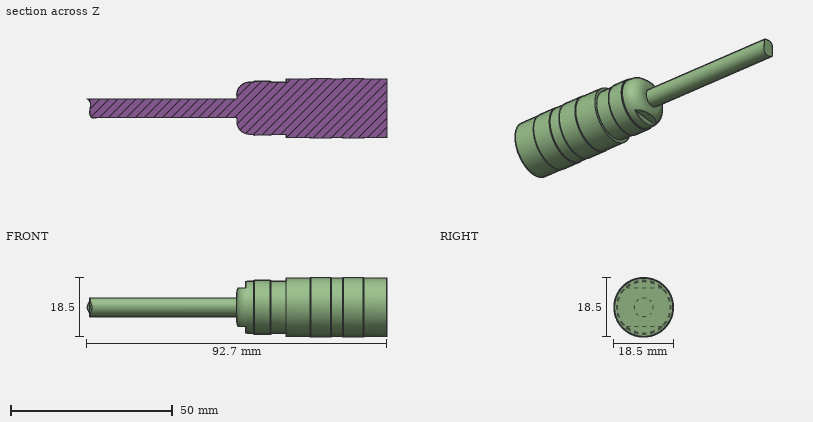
import cadquery as cq

total_length = 92.7
dome_start = 46.2
flat_end = 49.0
collar_start = 51.5
collar_end = 56.85
shell_start = 61.5
ring_starts = (68.9, 78.9)
ring_length = 6.6

cable_diameter = 5.8
dome_face_diameter = 8.2
neck_diameter = 16.2
collar_diameter = 16.8
shell_diameter = 18.2
ring_diameter = 18.5

flats_distance = 12.0
chamfer_length = 0.3
chamfer_depth = 0.1

tear_upper_depth = 1.0
tear_lower_depth = 0.7
tear_edge_depth = 1.5

cable_radius = cable_diameter / 2


def cylinder_along_x(start, end, diameter):
    """Round bar on the X axis between two stations."""
    return cq.Workplane("YZ", origin=(start, 0, 0)).circle(diameter / 2).extrude(end - start)


def chamfered_cylinder_along_x(start, end, diameter, front=True):
    """Round bar with shallow chamfers on its rear end and, if asked, its front end."""
    end_radius = diameter / 2 - chamfer_depth
    profile = cq.Workplane("XY").moveTo(start, 0)
    if front:
        profile = profile.lineTo(start, end_radius).lineTo(start + chamfer_length, diameter / 2)
    else:
        profile = profile.lineTo(start, diameter / 2)
    return (
        profile.lineTo(end - chamfer_length, diameter / 2)
        .lineTo(end, end_radius)
        .lineTo(end, 0)
        .close()
        .revolve(360, (0, 0, 0), (1, 0, 0))
    )


def make_cable():
    """Cable whose free end is cut to a wave that is constant along Z."""
    cable = cylinder_along_x(0, dome_start, cable_diameter)
    wave_points = [
        (tear_upper_depth, cable_radius / 2),
        (tear_lower_depth, -cable_radius / 2),
        (tear_edge_depth, -cable_radius),
    ]
    waste = (
        cq.Workplane("XY", origin=(0, 0, -cable_radius))
        .moveTo(0, cable_radius)
        .spline(wave_points, includeCurrent=True)
        .lineTo(tear_edge_depth, -cable_diameter)
        .lineTo(-tear_edge_depth, -cable_diameter)
        .lineTo(-tear_edge_depth, cable_radius)
        .close()
        .extrude(cable_diameter)
    )
    return cable.cut(waste)


def make_neck():
    """Neck with a domed cable entry and two wrench flats facing +Z and -Z."""
    dome_radius = (neck_diameter - dome_face_diameter) / 2
    neck = cylinder_along_x(dome_start, shell_start, neck_diameter)
    neck = neck.faces("<X").edges().fillet(dome_radius)
    flats_length = flat_end - dome_start
    for side in (1, -1):
        waste = cq.Workplane("XY").box(flats_length, neck_diameter, neck_diameter).translate(
            (dome_start + flats_length / 2, 0, side * (flats_distance + neck_diameter) / 2)
        )
        neck = neck.cut(waste)
    return neck


def make_shell():
    """Coupling shell with a chamfered mating end and two raised rings."""
    shell = chamfered_cylinder_along_x(shell_start, total_length, shell_diameter, front=False)
    for start in ring_starts:
        shell = shell.union(chamfered_cylinder_along_x(start, start + ring_length, ring_diameter))
    return shell


collar = chamfered_cylinder_along_x(collar_start, collar_end, collar_diameter)
result = make_cable().union(make_neck()).union(collar).union(make_shell())